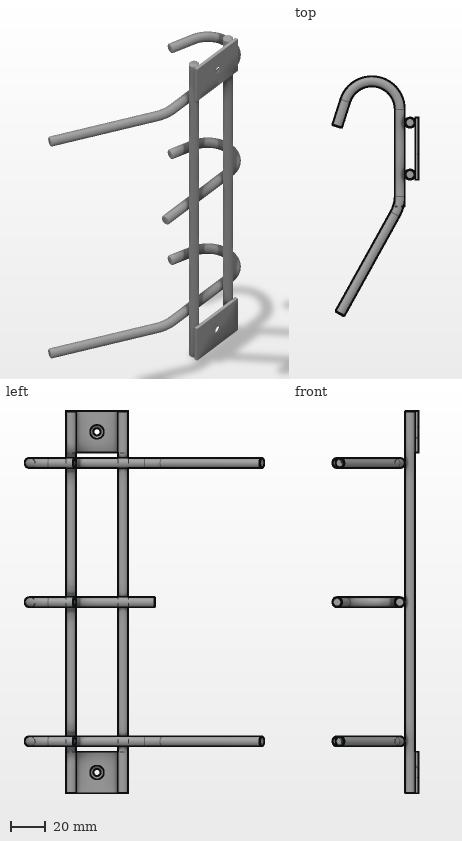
import cadquery as cq
import math

WIRE_DIAMETER = 6.0
ROD_LENGTH = 220.0
ROD_SPACING = 30.0
END_CHAMFER = 0.5

PLATE_THICKNESS = 2.0
PLATE_HEIGHT = 24.0
PLATE_WIDTH = ROD_SPACING + WIRE_DIAMETER
HOLE_DIAMETER = 4.0
COUNTERSINK_DIAMETER = 8.0
COUNTERSINK_ANGLE = 90.0

HOOK_SPACING = 80.0
CURL_RADIUS = 16.0
CURL_TIP_ANGLE = 17.6
CURL_TIP_LENGTH = 15.6
CURL_START_Y = 22.7
SHANK_LENGTH = 50.0
PLAIN_SHANK_LENGTH = 56.0
TAIL_BEND_RADIUS = 21.3
TAIL_ANGLE = 29.0
TAIL_LENGTH = 65.8

ROD_X = 0.0
HOOK_X = ROD_X - WIRE_DIAMETER
PLATE_X = ROD_X + (WIRE_DIAMETER + PLATE_THICKNESS) / 2
PLATE_Z = (ROD_LENGTH - PLATE_HEIGHT) / 2


def polar(start, distance, degrees):
    """XY point at a given distance and direction from another."""
    angle = math.radians(degrees)
    return (start[0] + distance * math.cos(angle), start[1] + distance * math.sin(angle))


def make_rod(y):
    """Vertical round rod with chamfered ends."""
    rod = cq.Workplane("XY").circle(WIRE_DIAMETER / 2).extrude(ROD_LENGTH)
    rod = rod.faces("<Z or >Z").chamfer(END_CHAMFER)
    return rod.translate((ROD_X, y, -ROD_LENGTH / 2))


def make_plate(z):
    """Flat plate with a screw hole countersunk from the front."""
    plate = cq.Workplane("XY").box(PLATE_THICKNESS, PLATE_WIDTH, PLATE_HEIGHT)
    plate = plate.faces("<X").workplane().cskHole(HOLE_DIAMETER, COUNTERSINK_DIAMETER, COUNTERSINK_ANGLE)
    return plate.translate((PLATE_X, 0, z))


def make_hook(z, shank_length, has_tail):
    """Round wire swept along curl tip, curl, shank and, if wanted, bent tail, with chamfered ends."""
    curl_center = (HOOK_X - CURL_RADIUS, CURL_START_Y)
    curl_end_angle = 180 - CURL_TIP_ANGLE
    curl_end = polar(curl_center, CURL_RADIUS, curl_end_angle)
    tip_direction = curl_end_angle + 90
    tip = polar(curl_end, CURL_TIP_LENGTH, tip_direction)
    shank_end = (HOOK_X, CURL_START_Y - shank_length)

    path = (
        cq.Workplane("XY")
        .moveTo(*tip)
        .lineTo(*curl_end)
        .threePointArc(polar(curl_center, CURL_RADIUS, curl_end_angle / 2), (HOOK_X, CURL_START_Y))
        .lineTo(*shank_end)
    )
    if has_tail:
        bend_center = (HOOK_X - TAIL_BEND_RADIUS, shank_end[1])
        bend_end = polar(bend_center, TAIL_BEND_RADIUS, -TAIL_ANGLE)
        path = path.threePointArc(polar(bend_center, TAIL_BEND_RADIUS, -TAIL_ANGLE / 2), bend_end)
        path = path.lineTo(*polar(bend_end, TAIL_LENGTH, -TAIL_ANGLE - 90))

    start_direction = (curl_end[0] - tip[0], curl_end[1] - tip[1], 0)
    start_plane = cq.Plane(origin=(*tip, 0), xDir=(0, 0, 1), normal=start_direction)
    hook = cq.Workplane(start_plane).circle(WIRE_DIAMETER / 2).sweep(path)
    hook = hook.faces("%PLANE").chamfer(END_CHAMFER)
    return hook.translate((0, 0, z))


rods = [make_rod(side * ROD_SPACING / 2) for side in (-1, 1)]
plates = [make_plate(side * PLATE_Z) for side in (-1, 1)]
tailed_hooks = [make_hook(side * HOOK_SPACING, SHANK_LENGTH, True) for side in (-1, 1)]
plain_hook = make_hook(0, PLAIN_SHANK_LENGTH, False)

bodies = [*rods, *plates, *tailed_hooks, plain_hook]
result = cq.Compound.makeCompound([body.val() for body in bodies])